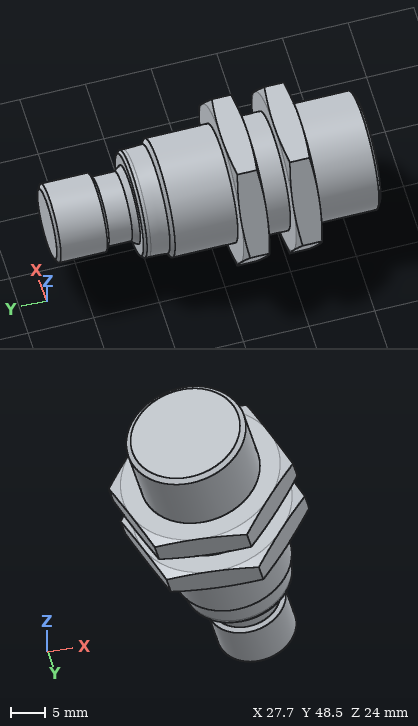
import cadquery as cq
import math

TOTAL_LENGTH = 48.5

BARREL_DIAMETER = 18.0
FACE_DIAMETER = 16.45
FACE_CHAMFER_LENGTH = 0.5
BARREL_END = 31.52
BARREL_CHAMFER_LENGTH = 0.6

COLLAR_BASE_DIAMETER = 16.55
COLLAR_RIM_DIAMETER = 16.3
COLLAR_TAPER_END = 35.0
COLLAR_END = 36.0
COLLAR_CHAMFER = 0.45

PLUG_DIAMETER = 12.0
PLUG_START = 41.0
PLUG_CHAMFER_LENGTH = 0.45
NECK_DIAMETER = 10.55
NECK_CONE_LENGTH = 1.0

NUT_ACROSS_FLATS = 24.0
NUT_THICKNESS = 4.0
NUT_CHAMFER_ANGLE = 15.0
NUT_COUNT = 2
FIRST_NUT_START = 10.0
NUT_PITCH = 8.0


def make_sensor():
    """Turned sensor body: barrel, collar, neck and plug in one solid."""
    barrel_radius = BARREL_DIAMETER / 2
    collar_rim_radius = COLLAR_RIM_DIAMETER / 2
    plug_radius = PLUG_DIAMETER / 2
    neck_radius = NECK_DIAMETER / 2
    half_profile = (
        cq.Workplane("XY")
        .moveTo(0, 0)
        .lineTo(FACE_DIAMETER / 2, 0)
        .lineTo(barrel_radius, FACE_CHAMFER_LENGTH)
        .lineTo(barrel_radius, BARREL_END)
        .lineTo(COLLAR_BASE_DIAMETER / 2, BARREL_END + BARREL_CHAMFER_LENGTH)
        .lineTo(collar_rim_radius, COLLAR_TAPER_END)
        .lineTo(collar_rim_radius, COLLAR_END - COLLAR_CHAMFER)
        .lineTo(collar_rim_radius - COLLAR_CHAMFER, COLLAR_END)
        .lineTo(plug_radius, COLLAR_END)
        .lineTo(neck_radius, COLLAR_END + NECK_CONE_LENGTH)
        .lineTo(neck_radius, PLUG_START - PLUG_CHAMFER_LENGTH)
        .lineTo(plug_radius, PLUG_START)
        .lineTo(plug_radius, TOTAL_LENGTH - PLUG_CHAMFER_LENGTH)
        .lineTo(neck_radius, TOTAL_LENGTH)
        .lineTo(0, TOTAL_LENGTH)
        .close()
    )
    return half_profile.revolve(360, (0, 0, 0), (0, 1, 0))


def make_nut_envelope(corner_radius):
    """Turned blank whose two end cones give the hexagon its chamfered corners."""
    flat_radius = NUT_ACROSS_FLATS / 2
    chamfer_depth = (corner_radius - flat_radius) * math.tan(math.radians(NUT_CHAMFER_ANGLE))
    return (
        cq.Workplane("XY")
        .moveTo(0, 0)
        .lineTo(flat_radius, 0)
        .lineTo(corner_radius, chamfer_depth)
        .lineTo(corner_radius, NUT_THICKNESS - chamfer_depth)
        .lineTo(flat_radius, NUT_THICKNESS)
        .lineTo(0, NUT_THICKNESS)
        .close()
        .revolve(360, (0, 0, 0), (0, 1, 0))
    )


def make_nut(start):
    """Hexagon nut whose front face is at Y = start, bored to fit the barrel."""
    corner_diameter = NUT_ACROSS_FLATS / math.cos(math.radians(30))
    hexagon = cq.Workplane("XZ").polygon(6, corner_diameter).extrude(-NUT_THICKNESS)
    bore = cq.Workplane("XZ").circle(BARREL_DIAMETER / 2).extrude(-NUT_THICKNESS)
    nut = hexagon.intersect(make_nut_envelope(corner_diameter / 2)).cut(bore)
    return nut.translate((0, start, 0))


sensor = make_sensor()
nuts = [make_nut(FIRST_NUT_START + index * NUT_PITCH) for index in range(NUT_COUNT)]

result = cq.Compound.makeCompound([sensor.val(), *[nut.val() for nut in nuts]])